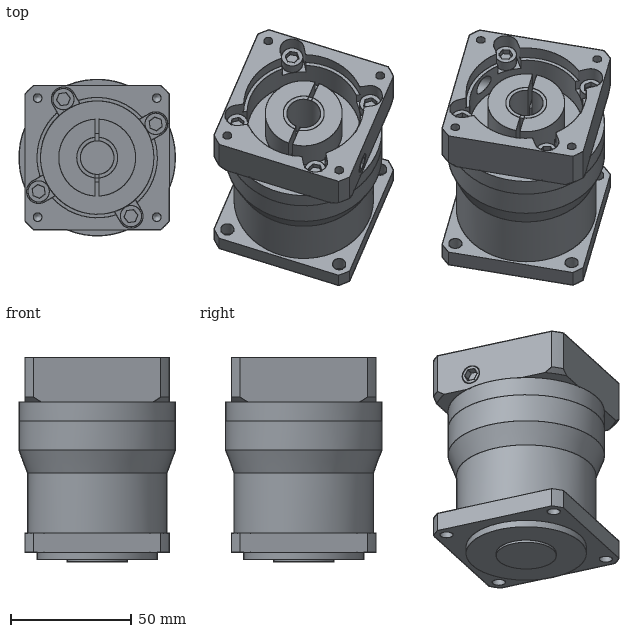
import cadquery as cq
import math

OUTPUT_DISC_TOP = 1.0
FLANGE_BOTTOM = 4.0
FLANGE_TOP = 12.0
CONE_BOTTOM = 37.0
CONE_TOP = 46.4
JOINT = 58.5
SPIGOT_TOP = 64.5
BLOCK_BOTTOM = 66.5
POCKET_FLOOR = 73.95
LEDGE = 79.0
TOTAL_HEIGHT = 85.0

OUTPUT_DISC_RADIUS = 12.5
PILOT_RADIUS = 25.0
BARREL_RADIUS = 29.0
RING_RADIUS = 65.0 / 2

SQUARE_SIDE = 60.0
CORNER_RADIUS = 39.95
UNDERSIDE_CHAMFER = 1.95
HOLE_OFFSET = 24.7
FLANGE_HOLE_RADIUS = 2.7
MOTOR_HOLE_RADIUS = 1.8
MOTOR_HOLE_DEPTH = 10.2
DRILL_POINT_ANGLE = 118.0

ADAPTER_BORE_RADIUS = 23.55
POCKET_RADIUS = 5.0
POCKET_FILLET = 0.5

SCREW_COUNT = 4
FIRST_SCREW_ANGLE = 30.0
SCREW_CIRCLE_RADIUS = 28.05
HEAD_RADIUS = 4.4
HEX_FLATS = 5.0
HEAD_HEX_DEPTH = 2.5
HEAD_HEX_TURN = 8.0

COLLAR_RADIUS = 16.0
NECK_RADIUS = 10.0
SHAFT_RADIUS = 8.5
SHAFT_BORE_RADIUS = 7.0
SHAFT_BORE_FLOOR = 55.0
SHAFT_RECESS = 0.1
SLIT_WIDTH = 1.7
SLIT_FLOOR = 60.0
NOTCH_DEPTH = 0.25

PLUG_Y = 11.0
PLUG_Z = 72.9
PLUG_RADIUS = 3.8
PLUG_CLEARANCE = 0.2
PLUG_LENGTH = 5.0
PLUG_HEX_DEPTH = 3.5

CORNER_HOLES = [(x, y) for x in (-HOLE_OFFSET, HOLE_OFFSET) for y in (-HOLE_OFFSET, HOLE_OFFSET)]
SCREW_ANGLES = [FIRST_SCREW_ANGLE + i * 360 / SCREW_COUNT for i in range(SCREW_COUNT)]


def level(height):
    return cq.Workplane("XY").workplane(offset=height)


def cylinder(radius, bottom, top):
    return level(bottom).circle(radius).extrude(top - bottom)


def box(center_x, center_y, size_x, size_y, bottom, top):
    return level(bottom).center(center_x, center_y).rect(size_x, size_y).extrude(top - bottom)


def turned(outline):
    """Solid of revolution about Z from (radius, height) points."""
    return cq.Workplane("XZ").polyline(outline).close().revolve(360, (0, 0, 0), (0, 1, 0))


def about_axis(shape, angle):
    return shape.rotate((0, 0, 0), (0, 0, 1), angle)


def hex_prism(plane, depth):
    return plane.polygon(6, HEX_FLATS / math.cos(math.pi / 6)).extrude(depth)


def turned_square(bottom, top):
    """Square plate whose corners are turned round about the axis."""
    square = box(0, 0, SQUARE_SIDE, SQUARE_SIDE, bottom, top)
    return square.intersect(cylinder(CORNER_RADIUS, bottom, top))



def barrel():
    return turned([
        (0, 0),
        (OUTPUT_DISC_RADIUS, 0),
        (OUTPUT_DISC_RADIUS, OUTPUT_DISC_TOP),
        (PILOT_RADIUS, OUTPUT_DISC_TOP),
        (PILOT_RADIUS, FLANGE_BOTTOM),
        (BARREL_RADIUS, FLANGE_BOTTOM),
        (BARREL_RADIUS, CONE_BOTTOM),
        (RING_RADIUS, CONE_TOP),
        (RING_RADIUS, JOINT),
        (ADAPTER_BORE_RADIUS, JOINT),
        (ADAPTER_BORE_RADIUS, SPIGOT_TOP),
        (0, SPIGOT_TOP),
    ])


def output_flange():
    plate = turned_square(FLANGE_BOTTOM, FLANGE_TOP)
    centers = level(FLANGE_BOTTOM).pushPoints(CORNER_HOLES)
    return plate.cut(centers.circle(FLANGE_HOLE_RADIUS).extrude(FLANGE_TOP - FLANGE_BOTTOM))


def collar():
    """Outer part of the hub, slit right across."""
    ring = cylinder(COLLAR_RADIUS, SPIGOT_TOP, LEDGE)
    return ring.cut(box(0, 0, SLIT_WIDTH, 2 * COLLAR_RADIUS, SPIGOT_TOP, LEDGE))


def shaft_seat():
    """Hole for the shaft end, with the deeper slit that reaches out to the neck radius."""
    slit = box(0, 0, SLIT_WIDTH, 2 * NECK_RADIUS, SLIT_FLOOR, LEDGE)
    return cylinder(SHAFT_RADIUS, SLIT_FLOOR, LEDGE).union(slit)


def shaft_end():
    """Hollow shaft end, slit on the +Y side and only notched on the -Y side."""
    top = LEDGE - SHAFT_RECESS
    slit = box(0, SHAFT_RADIUS / 2, SLIT_WIDTH, SHAFT_RADIUS, SLIT_FLOOR, top)
    notch = box(0, -SHAFT_RADIUS / 2, SLIT_WIDTH, SHAFT_RADIUS, LEDGE - NOTCH_DEPTH, top)
    return cylinder(SHAFT_RADIUS, SLIT_FLOOR, top).cut(slit).cut(notch)


def make_gearbox():
    body = barrel().union(output_flange()).union(collar())
    body = body.cut(shaft_seat()).union(shaft_end())
    return body.cut(cylinder(SHAFT_BORE_RADIUS, SHAFT_BORE_FLOOR, LEDGE))



def adapter_block():
    seat = cylinder(RING_RADIUS, JOINT, BLOCK_BOTTOM)
    chamfered = cylinder(CORNER_RADIUS, BLOCK_BOTTOM, TOTAL_HEIGHT).faces("<Z").chamfer(UNDERSIDE_CHAMFER)
    return turned_square(BLOCK_BOTTOM, TOTAL_HEIGHT).intersect(chamfered).union(seat)


def motor_holes():
    """Blind corner holes with drill points."""
    hole_end = TOTAL_HEIGHT - MOTOR_HOLE_DEPTH
    point_length = MOTOR_HOLE_RADIUS / math.tan(math.radians(DRILL_POINT_ANGLE / 2))
    drill = turned([
        (0, TOTAL_HEIGHT),
        (MOTOR_HOLE_RADIUS, TOTAL_HEIGHT),
        (MOTOR_HOLE_RADIUS, hole_end),
        (0, hole_end - point_length),
    ]).val()
    return cq.Workplane("XY").pushPoints(CORNER_HOLES).eachpoint(lambda place: drill.moved(place))


def screw_pocket(bottom, top):
    """Slot along +X from the axis, with a round outer end about the screw."""
    lane = box(SCREW_CIRCLE_RADIUS / 2, 0, SCREW_CIRCLE_RADIUS, 2 * POCKET_RADIUS, bottom, top)
    return lane.union(cylinder(POCKET_RADIUS, bottom, top).translate((SCREW_CIRCLE_RADIUS, 0, 0)))


def bore_with_pockets(radius, bottom, top, pocket_bottom):
    bore = cylinder(radius, bottom, top)
    for angle in SCREW_ANGLES:
        bore = bore.union(about_axis(screw_pocket(pocket_bottom, top), angle))
    return bore


def round_pocket_mouths(bore):
    """Fillet the upright edges where the pockets meet the motor pilot bore."""
    half_angle = math.asin(POCKET_RADIUS / PILOT_RADIUS)
    middle = (LEDGE + TOTAL_HEIGHT) / 2
    for screw_angle in SCREW_ANGLES:
        for side in (-1, 1):
            angle = math.radians(screw_angle) + side * half_angle
            corner = (PILOT_RADIUS * math.cos(angle), PILOT_RADIUS * math.sin(angle), middle)
            bore = bore.edges(cq.selectors.NearestToPointSelector(corner)).fillet(POCKET_FILLET)
    return bore


def adapter_cavity():
    """Through bore, widened to the motor pilot bore above the ledge."""
    upper = round_pocket_mouths(bore_with_pockets(PILOT_RADIUS, LEDGE, TOTAL_HEIGHT, LEDGE))
    lower = bore_with_pockets(ADAPTER_BORE_RADIUS, JOINT, LEDGE, POCKET_FLOOR)
    return upper.union(lower)


def plug_plane():
    return cq.Workplane("YZ").workplane(offset=-SQUARE_SIDE / 2).center(PLUG_Y, PLUG_Z)


def access_hole():
    """Hole through the -X wall into the cavity."""
    return plug_plane().circle(PLUG_RADIUS + PLUG_CLEARANCE).extrude(SQUARE_SIDE / 2)


def screw_head():
    socket = about_axis(hex_prism(level(LEDGE), -HEAD_HEX_DEPTH), HEAD_HEX_TURN)
    return cylinder(HEAD_RADIUS, POCKET_FLOOR, LEDGE).cut(socket).translate((SCREW_CIRCLE_RADIUS, 0, 0))


def make_adapter():
    body = adapter_block().cut(motor_holes()).cut(adapter_cavity()).cut(access_hole())
    for angle in SCREW_ANGLES:
        body = body.union(about_axis(screw_head(), angle))
    return body



def make_plug():
    body = plug_plane().circle(PLUG_RADIUS).extrude(PLUG_LENGTH)
    return body.cut(hex_prism(plug_plane(), PLUG_HEX_DEPTH))


gearbox = make_gearbox().solids()
adapter = make_adapter().solids()
plug = make_plug().solids()

result = cq.Compound.makeCompound([gearbox.val(), adapter.val(), plug.val()])